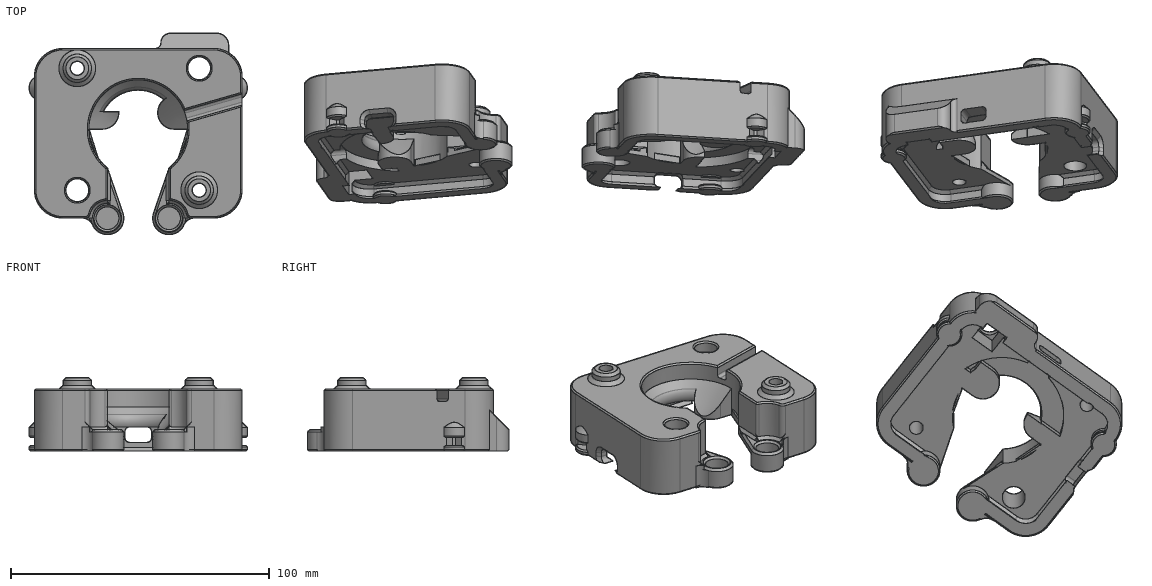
import cadquery as cq
import math

EDGE = 0.6

BODY_WIDTH = 80.4
BODY_BACK = 31.25
BODY_FRONT = -34.35
BODY_HEIGHT = 24.0
CORNER_RADIUS = 11.0

RECESS_WALL = 4.1
RECESS_HEIGHT = 5.7
RECESS_LIP = 1.4
RECESS_BEVEL = 1.3

SCREW_SPACING = 47.14
PLAIN_HOLE_DIAMETER = 8.8
BOSS_HOLE_DIAMETER = 5.3
SQUARE_POCKET_SIZE = 9.6
SQUARE_POCKET_TOP = 19.6
BOSS_DIAMETER = 11.0
BOSS_TOP_DIAMETER = 8.8
BOSS_FOOT_DIAMETER = 14.2
BOSS_HEIGHT = 4.4
BOSS_FOOT_HEIGHT = 1.4

BORE_RADIUS = 19.1
FUNNEL_TOP = 17.0
FUNNEL_BOTTOM = 14.2
FUNNEL_RADIUS = BORE_RADIUS - (FUNNEL_TOP - FUNNEL_BOTTOM)
LEDGE_RADIUS = 15.1
CHAMBER_TOP = 9.4
CHAMBER_RADIUS = 24.0
CHAMBER_FRONT = 7.0
SLOT_HALF_WIDTH = 11.9

FINGER_CENTER_X = 13.9
FINGER_CENTER_Y = 6.4
FINGER_RADIUS = 6.4
FINGER_TRIM_Y = 6.8

CUP_RADIUS = 6.35
CUP_HEIGHT = 8.3
CUP_CHAMFER = 0.9
CUP_HOLE_DIAMETER = 8.8
CUP_MOUTH_CHAMFER = 0.8
CUP_FLOOR = 2.0
SKIRT = 1.1
WEB_HEIGHT = CUP_HEIGHT + SKIRT
CUP_CENTER_Y = BODY_FRONT - 0.05
CLEARANCE_RADIUS = 6.9
CLEARANCE_FRONT_FILLET = 2.0
CLEARANCE_SLOT_FILLET = 1.0
WEB_RADIUS = 4.4

WEDGE_START = (18.8, -0.5)
WEDGE_END = (15.4, -11.3)

GROOVE_ANGLE = 16.0
GROOVE_WIDTH = 4.2
GROOVE_DEPTH = 4.8
GROOVE_FILLET = 1.1

LUG_LEFT = 8.7
LUG_RIGHT = 35.0
LUG_BACK = 37.2
LUG_ROOT = 2.0
LUG_LEFT_RADIUS = 3.9
LUG_RIGHT_RADIUS = 4.8
LUG_LEFT_FILLET = 2.1
LUG_EAVE = 8.3

STUD_CENTER_Y = 15.95
STUD_RADIUS = 4.9
STUD_REACH = 42.25
STUD_EDGE = 9.1
STUD_FLANGE = 2.2
STUD_WAIST_TOP = 5.2
POCKET_MOUTH = 5.8
POCKET_FLOOR = 1.2
POCKET_DEPTH = 2.3

WINDOW_WIDTH = 10.2
WINDOW_BOTTOM = 3.4
WINDOW_TOP = 9.3
WINDOW_RADIUS = 1.7

TUNNEL_CENTER_Y = -0.6
TUNNEL_WIDTH = 11.4
TUNNEL_HEIGHT = 6.0
TUNNEL_RADIUS = 2.2
FLARE = 1.45

HALF_WIDTH = BODY_WIDTH / 2
HALF_SPACING = SCREW_SPACING / 2
BOSS_POINTS = [(-HALF_SPACING, HALF_SPACING), (HALF_SPACING, -HALF_SPACING)]
PLAIN_POINTS = [(HALF_SPACING, HALF_SPACING), (-HALF_SPACING, -HALF_SPACING)]
SIDES = (-1, 1)


def cylinder(radius, bottom, top, x=0.0, y=0.0):
    return cq.Workplane("XY", origin=(x, y, bottom)).circle(radius).extrude(top - bottom)


def prism(points, bottom, top):
    return cq.Workplane("XY", origin=(0, 0, bottom)).polyline(points).close().extrude(top - bottom)


def turned(profile, x=0.0, y=0.0):
    """Solid of revolution about a vertical axis from (radius, height) points."""
    outline = cq.Workplane("XZ").polyline(profile).close()
    return outline.revolve(360, (0, 0, 0), (0, 1, 0)).translate((x, y, 0))


def box(x0, x1, y0, y1, z0, z1):
    return cq.Workplane("XY").box(x1 - x0, y1 - y0, z1 - z0, centered=False).translate((x0, y0, z0))


def body_block():
    block = box(-HALF_WIDTH, HALF_WIDTH, BODY_FRONT, BODY_BACK, 0, BODY_HEIGHT)
    return block.edges("|Z").fillet(CORNER_RADIUS).faces("<Z").edges().chamfer(EDGE)


def recess():
    """Underside recess that follows the body outline."""
    reach = HALF_WIDTH - RECESS_WALL
    space = box(-reach, reach, BODY_FRONT + RECESS_WALL, BODY_BACK - RECESS_WALL, 0, RECESS_HEIGHT)
    space = space.edges("|Z").fillet(CORNER_RADIUS - RECESS_WALL)
    space = space.faces("<Z").edges().chamfer(RECESS_LIP)
    return space.faces(">Z").edges().chamfer(RECESS_BEVEL)


def chamber():
    """Half-round space under the ledge, deeper than the recess."""
    back_part = box(-CHAMBER_RADIUS, CHAMBER_RADIUS, CHAMBER_FRONT, CHAMBER_RADIUS, 0, CHAMBER_TOP)
    return cylinder(CHAMBER_RADIUS, 0, CHAMBER_TOP).intersect(back_part)


def ledge_opening():
    """Space inside the rounded ledge, whose nose runs tangent out of the funnel cone."""
    nose_radius = (FUNNEL_RADIUS - LEDGE_RADIUS) / (1 - math.cos(math.radians(45)))
    nose_x = LEDGE_RADIUS + nose_radius
    nose_z = FUNNEL_BOTTOM - nose_radius * math.sin(math.radians(45))
    foot = nose_x - math.sqrt(nose_radius**2 - (nose_z - CHAMBER_TOP)**2)
    return (
        cq.Workplane("XZ")
        .moveTo(0, 0)
        .lineTo(foot, 0)
        .lineTo(foot, CHAMBER_TOP)
        .threePointArc((LEDGE_RADIUS, nose_z), (FUNNEL_RADIUS, FUNNEL_BOTTOM))
        .lineTo(0, FUNNEL_BOTTOM)
        .close()
        .revolve(360, (0, 0, 0), (0, 1, 0))
    )


def front_opening():
    """Slot to the front, with the full bore radius below the ledge on the front half."""
    slot = box(-SLOT_HALF_WIDTH, SLOT_HALF_WIDTH, BODY_FRONT, 0, 0, BODY_HEIGHT)
    front_half = box(-HALF_WIDTH, HALF_WIDTH, BODY_FRONT, 0, 0, BODY_HEIGHT)
    return slot.union(cylinder(BORE_RADIUS, 0, BODY_HEIGHT).intersect(front_half))


def funnel():
    """Bore above a 45-degree cone that also shapes the tops of the fingers."""
    return turned([(0, FUNNEL_TOP - BORE_RADIUS), (BORE_RADIUS, FUNNEL_TOP),
                   (BORE_RADIUS, BODY_HEIGHT), (0, BODY_HEIGHT)])


def cup_clearance(side):
    profile = [(0, CUP_HEIGHT), (CLEARANCE_RADIUS - SKIRT, CUP_HEIGHT), (CLEARANCE_RADIUS, WEB_HEIGHT),
               (CLEARANCE_RADIUS, BODY_HEIGHT), (0, BODY_HEIGHT)]
    return turned(profile, side * SLOT_HALF_WIDTH, CUP_CENTER_Y)


def groove():
    start = BORE_RADIUS - 3 * EDGE
    length = HALF_WIDTH + STUD_RADIUS
    trench = box(start, start + length, -GROOVE_WIDTH / 2, GROOVE_WIDTH / 2,
                 BODY_HEIGHT - GROOVE_DEPTH, BODY_HEIGHT)
    trench = trench.faces("<Z").edges("|X").fillet(GROOVE_FILLET)
    return trench.rotate((0, 0, 0), (0, 0, 1), GROOVE_ANGLE)


def finger(side):
    """Round column joined to the bore wall; the funnel later cuts its top."""
    shape = cylinder(FINGER_RADIUS, RECESS_HEIGHT, FUNNEL_TOP, FINGER_CENTER_X, FINGER_CENTER_Y)
    root = box(FINGER_CENTER_X, BORE_RADIUS + EDGE, FINGER_CENTER_Y - FINGER_RADIUS,
               FINGER_CENTER_Y + FINGER_RADIUS, RECESS_HEIGHT, FUNNEL_TOP)
    shape = shape.union(root)
    if side < 0:
        shape = shape.mirror("YZ")
        shape = shape.intersect(box(-HALF_WIDTH, 0, BODY_FRONT, FINGER_TRIM_Y, 0, BODY_HEIGHT))
    return shape


def round_clearance_edges(part):
    """Fillet the corners where the cup clearances meet the slot and the front face."""
    middle = (CUP_HEIGHT + BODY_HEIGHT) / 2
    for side in SIDES:
        front_corner = (side * (SLOT_HALF_WIDTH + CLEARANCE_RADIUS), BODY_FRONT, middle)
        slot_corner = (side * SLOT_HALF_WIDTH, CUP_CENTER_Y + CLEARANCE_RADIUS, middle)
        part = part.edges(cq.NearestToPointSelector(front_corner)).fillet(CLEARANCE_FRONT_FILLET)
        part = part.edges(cq.NearestToPointSelector(slot_corner)).fillet(CLEARANCE_SLOT_FILLET)
    return part


def wall_skirt():
    """45-degree bevel between the slot wall and the top of a gusset."""
    length = BORE_RADIUS - CLEARANCE_RADIUS
    section = [(SLOT_HALF_WIDTH, CUP_HEIGHT - SKIRT), (SLOT_HALF_WIDTH - SKIRT, CUP_HEIGHT - SKIRT),
               (SLOT_HALF_WIDTH - SKIRT, CUP_HEIGHT), (SLOT_HALF_WIDTH, WEB_HEIGHT)]
    start_y = CUP_CENTER_Y + CLEARANCE_RADIUS
    return cq.Workplane("XZ", origin=(0, start_y + length, 0)).polyline(section).close().extrude(length)


def cup_mount(side):
    """Cup with a tangent gusset to the slot wall and a concave web to the front face."""
    center = (SLOT_HALF_WIDTH, CUP_CENTER_Y)
    slot_top = (SLOT_HALF_WIDTH, -math.sqrt(BORE_RADIUS**2 - SLOT_HALF_WIDTH**2))
    distance = slot_top[1] - center[1]
    tangent_angle = math.pi / 2 + math.acos(CUP_RADIUS / distance)
    tangent = (center[0] + CUP_RADIUS * math.cos(tangent_angle),
               center[1] + CUP_RADIUS * math.sin(tangent_angle))
    mount = cylinder(CUP_RADIUS, 0, RECESS_HEIGHT, *center).faces("<Z").edges().chamfer(EDGE)
    upper = cylinder(CUP_RADIUS, RECESS_HEIGHT, CUP_HEIGHT, *center)
    upper = upper.union(prism([slot_top, tangent, center], RECESS_HEIGHT, CUP_HEIGHT))
    mount = mount.union(upper.faces(">Z").edges().chamfer(CUP_CHAMFER))
    mount = mount.union(wall_skirt().intersect(prism([slot_top, tangent, center], 0, WEB_HEIGHT)))

    web_center_y = BODY_FRONT - WEB_RADIUS
    web_reach = math.sqrt((CUP_RADIUS + WEB_RADIUS)**2 - (web_center_y - center[1])**2)
    web_center_x = center[0] + web_reach
    web = prism([center, (web_center_x, BODY_FRONT), (web_center_x, web_center_y)], 0, WEB_HEIGHT)
    web = web.cut(cylinder(WEB_RADIUS, 0, WEB_HEIGHT, web_center_x, web_center_y))
    web = web.cut(cylinder(CLEARANCE_RADIUS, CUP_HEIGHT - CUP_CHAMFER, WEB_HEIGHT, *center))
    mount = mount.union(web)
    return mount if side > 0 else mount.mirror("YZ")


def cup_hole(side):
    radius = CUP_HOLE_DIAMETER / 2
    profile = [(0, CUP_FLOOR), (radius, CUP_FLOOR), (radius, CUP_HEIGHT - CUP_MOUTH_CHAMFER),
               (radius + CUP_MOUTH_CHAMFER, CUP_HEIGHT), (0, CUP_HEIGHT)]
    return turned(profile, side * SLOT_HALF_WIDTH, CUP_CENTER_Y)


def wedge(side):
    """Flat-faced strip that fills the lower bore wall between a finger and the slot."""
    outer = BORE_RADIUS + EDGE
    angles = [math.atan2(point[1], point[0]) for point in (WEDGE_END, WEDGE_START)]
    backing = [(outer * math.cos(angle), outer * math.sin(angle)) for angle in angles]
    strip = prism([WEDGE_START, WEDGE_END] + backing, RECESS_HEIGHT, CUP_HEIGHT)
    return strip if side > 0 else strip.mirror("YZ")


def boss(x, y):
    top = BODY_HEIGHT + BOSS_HEIGHT
    radius = BOSS_DIAMETER / 2
    top_radius = BOSS_TOP_DIAMETER / 2
    profile = [(0, BODY_HEIGHT - EDGE), (BOSS_FOOT_DIAMETER / 2, BODY_HEIGHT - EDGE),
               (BOSS_FOOT_DIAMETER / 2, BODY_HEIGHT), (radius, BODY_HEIGHT + BOSS_FOOT_HEIGHT),
               (radius, top - (radius - top_radius)), (top_radius, top), (0, top)]
    return turned(profile, x, y)


def lug():
    """Block on the back wall with rounded corners and a 45-degree roof."""
    root = BODY_BACK - LUG_ROOT
    block = (
        cq.Workplane("XY")
        .moveTo(LUG_LEFT - LUG_LEFT_FILLET, root)
        .lineTo(LUG_LEFT - LUG_LEFT_FILLET, BODY_BACK)
        .radiusArc((LUG_LEFT, BODY_BACK + LUG_LEFT_FILLET), -LUG_LEFT_FILLET)
        .lineTo(LUG_LEFT, LUG_BACK - LUG_LEFT_RADIUS)
        .radiusArc((LUG_LEFT + LUG_LEFT_RADIUS, LUG_BACK), LUG_LEFT_RADIUS)
        .lineTo(LUG_RIGHT - LUG_RIGHT_RADIUS, LUG_BACK)
        .radiusArc((LUG_RIGHT, LUG_BACK - LUG_RIGHT_RADIUS), LUG_RIGHT_RADIUS)
        .lineTo(LUG_RIGHT, root)
        .close()
        .extrude(BODY_HEIGHT - EDGE)
    )
    run = LUG_BACK - root
    under_roof = (
        cq.Workplane("YZ")
        .polyline([(root, 0), (LUG_BACK - EDGE, 0), (LUG_BACK, EDGE), (LUG_BACK, LUG_EAVE),
                   (root, LUG_EAVE + run)])
        .close()
        .extrude(HALF_WIDTH)
    )
    return block.intersect(under_roof)


def stud(side):
    """Upright side stud: flange, waist flush with the side wall, and a head with a conical top."""
    x = STUD_REACH - STUD_RADIUS
    head = turned([(0, STUD_WAIST_TOP), (STUD_RADIUS - EDGE, STUD_WAIST_TOP),
                   (STUD_RADIUS, STUD_WAIST_TOP + EDGE), (STUD_RADIUS, STUD_EDGE),
                   (0, STUD_EDGE + STUD_RADIUS)], x, STUD_CENTER_Y)
    flange = turned([(0, 0), (STUD_RADIUS - EDGE, 0), (STUD_RADIUS, EDGE),
                     (STUD_RADIUS, STUD_FLANGE - EDGE), (STUD_RADIUS - EDGE, STUD_FLANGE),
                     (0, STUD_FLANGE)], x, STUD_CENTER_Y)
    shape = head.union(flange)
    return shape if side > 0 else shape.mirror("YZ")


def stud_pocket(side):
    """Pocket in the side wall at the stud waist, tapering inwards."""
    inner = HALF_WIDTH - POCKET_DEPTH
    points = [(HALF_WIDTH, STUD_CENTER_Y - POCKET_MOUTH / 2), (inner, STUD_CENTER_Y - POCKET_FLOOR / 2),
              (inner, STUD_CENTER_Y + POCKET_FLOOR / 2), (HALF_WIDTH, STUD_CENTER_Y + POCKET_MOUTH / 2)]
    pocket = prism(points, STUD_FLANGE, STUD_WAIST_TOP)
    return pocket if side > 0 else pocket.mirror("YZ")


def square_pocket():
    x, y = PLAIN_POINTS[0]
    half = SQUARE_POCKET_SIZE / 2
    return box(x - half, x + half, y - half, y + half, 0, SQUARE_POCKET_TOP)


def window():
    opening = box(-WINDOW_WIDTH / 2, WINDOW_WIDTH / 2, 0, BODY_BACK, WINDOW_BOTTOM, WINDOW_TOP)
    return opening.edges("|Y").fillet(WINDOW_RADIUS)


def tunnel():
    """Rounded passage, open along the bottom, with a 45-degree flare at the side wall."""
    middle = TUNNEL_HEIGHT / 2

    def passage(x, width, height, radius):
        plane = cq.Workplane("YZ", origin=(x, TUNNEL_CENTER_Y, middle))
        return plane.sketch().rect(width, height).vertices().fillet(radius).finalize()

    bore = passage(-HALF_WIDTH, TUNNEL_WIDTH, TUNNEL_HEIGHT, TUNNEL_RADIUS).extrude(
        RECESS_WALL + RECESS_LIP)
    mouth = passage(-HALF_WIDTH, TUNNEL_WIDTH + 2 * FLARE, TUNNEL_HEIGHT + 2 * FLARE,
                    TUNNEL_RADIUS + FLARE).extrude(FLARE, taper=45)
    return bore.union(mouth)


body = body_block()
bore = ledge_opening().union(front_opening())
for side in SIDES:
    bore = bore.cut(finger(side))
body = body.cut(bore).cut(funnel())
for side in SIDES:
    body = body.cut(cup_clearance(side))
body = round_clearance_edges(body)
for side in SIDES:
    body = body.union(wedge(side))
body = body.cut(recess())
body = body.cut(chamber().cut(finger(-1)).cut(finger(1)))
body = body.cut(groove())
for x, y in PLAIN_POINTS:
    body = body.cut(cylinder(PLAIN_HOLE_DIAMETER / 2, 0, BODY_HEIGHT, x, y))
body = body.cut(square_pocket())
body = body.faces(">Z").edges().chamfer(EDGE)

for side in SIDES:
    body = body.union(cup_mount(side)).cut(cup_hole(side))
    body = body.union(stud(side)).cut(stud_pocket(side))
body = body.union(lug())
body = body.cut(window()).cut(tunnel())
for x, y in BOSS_POINTS:
    body = body.union(boss(x, y))
    body = body.cut(cylinder(BOSS_HOLE_DIAMETER / 2, 0, BODY_HEIGHT + BOSS_HEIGHT, x, y))

result = body